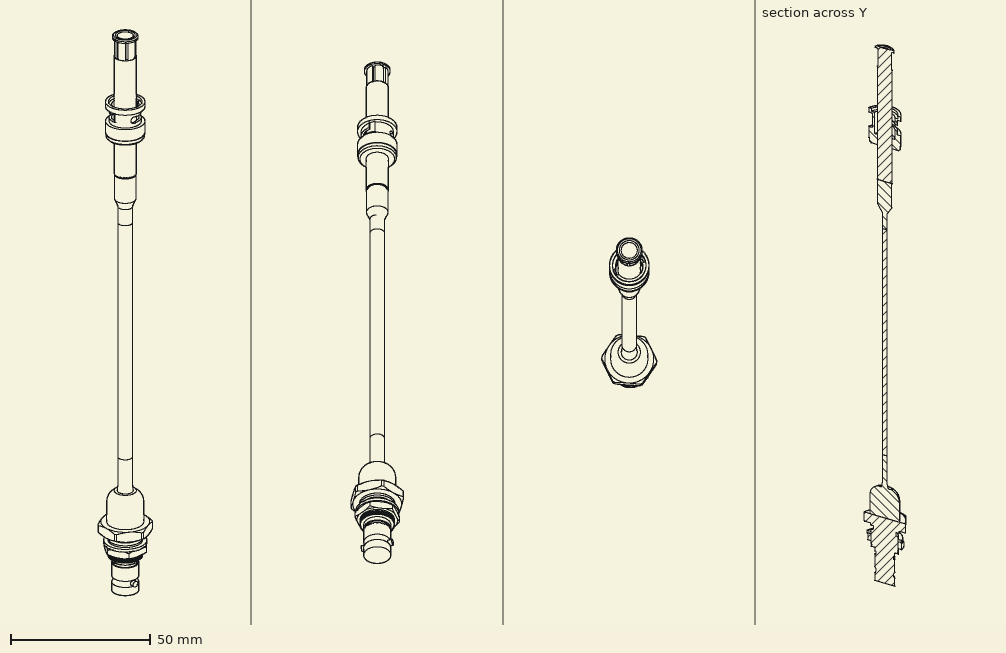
import cadquery as cq
import math

TOTAL_LENGTH = 222.3
HEX_BOTTOM = 23.3
HEX_TOP = 27.3
CABLE_BOTTOM = 53.4
CABLE_TOP = 147.2
SLEEVE_TOP = 167.0

CABLE_RADIUS = 2.7

HEX_SIDES = 6
HEX_CHAMFER_ANGLE = 30.0

BARREL_RADIUS = 5.0
BARREL_TOP = 13.8
THREAD_RADIUS = 6.2
THREAD_TOP = 21.3
THREAD_CHAMFER = 0.7
THREAD_PITCH = 0.55
THREAD_DEPTH = 0.2
THREAD_GROOVES = 3
NECK_RADIUS = 5.3
HEX_WIDTH = 17.5
HEX_CORNER_DIAMETER = 19.8
HEX_CHAMFER = 1.1
COLLAR_RADIUS = 6.5
COLLAR_HEIGHT = 1.0
FACE_GROOVE_BOTTOM = 3.3
FACE_GROOVE_TOP = 5.8
FACE_GROOVE_DEPTH = 0.5
SEAL_GROOVE_BOTTOM = 11.1
SEAL_GROOVE_HEIGHT = 1.1
SEAL_GROOVE_DEPTH = 0.5
STUD_HEIGHT = 4.5
STUD_RADIUS = 1.1
STUD_TIP_RADIUS = 5.8

WASHER_RADIUS = 7.8
WASHER_THICKNESS = 1.1
NUT_TOP = 19.0
NUT_BOTTOM = 16.0
NUT_WIDTH = 14.2
NUT_TURN = 30.0
NUT_CHAMFER = 1.0

BOOT_RADIUS = 6.7
BOOT_ROUND_BOTTOM = 35.5
BOOT_CONE_BOTTOM = 38.7
BOOT_CONE_RADIUS = 5.3
BOOT_TOP = 39.8
BOOT_TOP_RADIUS = 4.0
BOOT_FLARE_TOP = 42.0
BOOT_FLARE_RADIUS = 3.0

SLEEVE_RADIUS = 3.9
SLEEVE_CHAMFER = 0.5
SLEEVE_TIP_RADIUS = 3.1
SLEEVE_CONE_TOP = 156.7
SLEEVE_CONE_BOTTOM = 155.0
SLEEVE_TIP_BOTTOM = 153.5

TUBE_RADIUS = 4.0
NOSE_RADIUS = 3.9
NOSE_BOTTOM = 213.9
RIM_RADIUS = 4.7
RIM_THICKNESS = 1.1
RIM_CHAMFER = 0.5
SOCKET_MOUTH_RADIUS = 3.5
SOCKET_RADIUS = 3.0
SOCKET_DEPTH = 0.2
NOSE_SLOTS = 6
NOSE_SLOT_START = 30.0
NOSE_SLOT_WIDTH = 1.0
NOSE_SLOT_DEPTH = 1.0

RING_RADIUS = 7.1
RING_FOOT_RADIUS = 7.0
RING_WALL_RADIUS = 5.8
RING_BORE_RADIUS = 5.0
RING_MOUTH_RADIUS = 6.0
RING_TOP = 195.6
RING_MOUTH_FLOOR = 194.5
RING_LIP_BOTTOM = 193.6
RING_GRIP_TOP = 187.8
RING_GRIP_BOTTOM = 183.2
RING_BOTTOM = 181.2
RING_CHAMFER = 0.7
RING_FLOOR = 185.6
BAYONET_WIDTH = 2.2
BAYONET_DETENT_RADIUS = 1.3
BAYONET_HEIGHT = 190.5
BAYONET_ENTRY_ANGLE = 270.0
BAYONET_SWEEP = 95.0


def turned(profile):
    """Solid of revolution about Z from (radius, height) points."""
    return cq.Workplane("XZ").polyline(profile).close().revolve(360, (0, 0), (0, 1))


def tube(outer, inner, bottom, top):
    """Round tube along Z."""
    return cq.Workplane("XY").workplane(offset=bottom).circle(outer).circle(inner).extrude(top - bottom)


def chamfered_disc(diameter, bottom, top, chamfer):
    """Disc along Z with shallow chamfers, which trims the corners of a hexagon."""
    radius = diameter / 2
    drop = chamfer * math.tan(math.radians(HEX_CHAMFER_ANGLE))
    return turned([
        (0, bottom),
        (radius - chamfer, bottom),
        (radius, bottom + drop),
        (radius, top - drop),
        (radius - chamfer, top),
        (0, top),
    ])


def corner_to_corner(width):
    """Distance across the corners of a hexagon with the given width across its flats."""
    return width / math.cos(math.pi / HEX_SIDES)


def hexagon(width, bottom, top):
    """Hexagonal prism along Z with two corners on the X axis."""
    diameter = corner_to_corner(width)
    return cq.Workplane("XY").workplane(offset=bottom).polygon(HEX_SIDES, diameter).extrude(top - bottom)


def face_groove():
    """Shallow round-bottomed groove around the barrel, level with the studs."""
    groove_middle = (FACE_GROOVE_BOTTOM + FACE_GROOVE_TOP) / 2
    return (
        cq.Workplane("XZ")
        .moveTo(BARREL_RADIUS, FACE_GROOVE_BOTTOM)
        .threePointArc((BARREL_RADIUS - FACE_GROOVE_DEPTH, groove_middle), (BARREL_RADIUS, FACE_GROOVE_TOP))
        .close()
        .revolve(360, (0, 0), (0, 1))
    )


def make_jack():
    """Bulkhead jack: grooved barrel with two studs, threaded neck and hexagonal flange."""
    jack = turned([
        (0, 0),
        (BARREL_RADIUS, 0),
        (BARREL_RADIUS, BARREL_TOP),
        (THREAD_RADIUS, BARREL_TOP),
        (THREAD_RADIUS, THREAD_TOP - THREAD_CHAMFER),
        (NECK_RADIUS, THREAD_TOP),
        (NECK_RADIUS, HEX_BOTTOM - COLLAR_HEIGHT),
        (COLLAR_RADIUS, HEX_BOTTOM - COLLAR_HEIGHT),
        (COLLAR_RADIUS, HEX_BOTTOM),
        (0, HEX_BOTTOM),
    ])
    flange = hexagon(HEX_WIDTH, HEX_BOTTOM, HEX_TOP)
    blank = chamfered_disc(HEX_CORNER_DIAMETER, HEX_BOTTOM, HEX_TOP, HEX_CHAMFER)
    jack = jack.union(flange.intersect(blank))
    studs = (
        cq.Workplane("YZ")
        .center(0, STUD_HEIGHT)
        .circle(STUD_RADIUS)
        .extrude(STUD_TIP_RADIUS, both=True)
    )
    jack = jack.cut(face_groove()).union(studs)
    seal_groove = tube(
        BARREL_RADIUS,
        BARREL_RADIUS - SEAL_GROOVE_DEPTH,
        SEAL_GROOVE_BOTTOM,
        SEAL_GROOVE_BOTTOM + SEAL_GROOVE_HEIGHT,
    )
    jack = jack.cut(seal_groove)
    for index in range(THREAD_GROOVES):
        groove_bottom = BARREL_TOP + index * THREAD_PITCH
        jack = jack.cut(turned([
            (THREAD_RADIUS, groove_bottom),
            (THREAD_RADIUS, groove_bottom + THREAD_PITCH),
            (THREAD_RADIUS - THREAD_DEPTH, groove_bottom + THREAD_PITCH / 2),
        ]))
    return jack


def make_washer():
    """Flat washer resting on the nut."""
    return tube(WASHER_RADIUS, THREAD_RADIUS, NUT_TOP, NUT_TOP + WASHER_THICKNESS)


def make_nut():
    """Hexagonal nut with flats facing X."""
    blank = chamfered_disc(corner_to_corner(NUT_WIDTH), NUT_BOTTOM, NUT_TOP, NUT_CHAMFER)
    prism = hexagon(NUT_WIDTH, NUT_BOTTOM, NUT_TOP).rotate((0, 0, 0), (0, 0, 1), NUT_TURN)
    bore = cq.Workplane("XY").workplane(offset=NUT_BOTTOM).circle(THREAD_RADIUS).extrude(NUT_TOP - NUT_BOTTOM)
    return prism.intersect(blank).cut(bore)


def make_boot():
    """Cylinder whose shoulder rounds over into a cone, with a tail along the cable."""
    return (
        cq.Workplane("XZ")
        .moveTo(0, HEX_TOP)
        .lineTo(BOOT_RADIUS, HEX_TOP)
        .lineTo(BOOT_RADIUS, BOOT_ROUND_BOTTOM)
        .tangentArcPoint((BOOT_CONE_RADIUS, BOOT_CONE_BOTTOM), relative=False)
        .lineTo(BOOT_TOP_RADIUS, BOOT_TOP)
        .lineTo(BOOT_FLARE_RADIUS, BOOT_TOP)
        .lineTo(CABLE_RADIUS, BOOT_FLARE_TOP)
        .lineTo(CABLE_RADIUS, CABLE_BOTTOM)
        .lineTo(0, CABLE_BOTTOM)
        .close()
        .revolve(360, (0, 0), (0, 1))
    )


def make_cable():
    """Round cable between the boot and the sleeve."""
    length = CABLE_TOP - CABLE_BOTTOM
    return cq.Workplane("XY").workplane(offset=CABLE_BOTTOM).circle(CABLE_RADIUS).extrude(length)


def make_sleeve():
    """Sleeve that tapers down to a tail along the cable."""
    return turned([
        (0, CABLE_TOP),
        (CABLE_RADIUS, CABLE_TOP),
        (CABLE_RADIUS, SLEEVE_TIP_BOTTOM),
        (SLEEVE_TIP_RADIUS, SLEEVE_CONE_BOTTOM),
        (SLEEVE_RADIUS, SLEEVE_CONE_TOP),
        (SLEEVE_RADIUS, SLEEVE_TOP - SLEEVE_CHAMFER),
        (SLEEVE_RADIUS - SLEEVE_CHAMFER, SLEEVE_TOP),
        (0, SLEEVE_TOP),
    ])


def make_plug():
    """Plug tube with a rimmed nose, shallow lengthwise slots and a dished end face."""
    rim_bottom = TOTAL_LENGTH - RIM_THICKNESS
    plug = turned([
        (0, SLEEVE_TOP),
        (TUBE_RADIUS, SLEEVE_TOP),
        (TUBE_RADIUS, NOSE_BOTTOM),
        (NOSE_RADIUS, NOSE_BOTTOM),
        (NOSE_RADIUS, rim_bottom),
        (RIM_RADIUS, rim_bottom),
        (RIM_RADIUS, TOTAL_LENGTH - RIM_CHAMFER),
        (RIM_RADIUS - RIM_CHAMFER, TOTAL_LENGTH),
        (SOCKET_MOUTH_RADIUS, TOTAL_LENGTH),
        (SOCKET_RADIUS, TOTAL_LENGTH - SOCKET_DEPTH),
        (0, TOTAL_LENGTH - SOCKET_DEPTH),
    ])
    slots = (
        cq.Workplane("XY")
        .workplane(offset=NOSE_BOTTOM)
        .polarArray(NOSE_RADIUS, NOSE_SLOT_START, 360, NOSE_SLOTS)
        .rect(2 * NOSE_SLOT_DEPTH, NOSE_SLOT_WIDTH)
        .extrude(rim_bottom - NOSE_BOTTOM)
    )
    return plug.cut(slots)


def bayonet_cutters():
    """Entry, track and end detent of one L-shaped slot through the ring wall, entered on +X."""
    track_bottom = BAYONET_HEIGHT - BAYONET_WIDTH / 2
    entry = (
        cq.Workplane("XY")
        .workplane(offset=track_bottom)
        .center(RING_MOUTH_RADIUS / 2, 0)
        .rect(RING_MOUTH_RADIUS, BAYONET_WIDTH)
        .extrude(RING_MOUTH_FLOOR - track_bottom)
    )
    track = (
        cq.Workplane("XZ")
        .center(RING_WALL_RADIUS, BAYONET_HEIGHT)
        .rect(RING_WALL_RADIUS, BAYONET_WIDTH)
        .revolve(BAYONET_SWEEP, (-RING_WALL_RADIUS, 0), (-RING_WALL_RADIUS, 1))
        .rotate((0, 0, 0), (0, 0, 1), -BAYONET_SWEEP)
    )
    detent = (
        cq.Workplane("YZ")
        .center(0, BAYONET_HEIGHT)
        .circle(BAYONET_DETENT_RADIUS)
        .extrude(RING_RADIUS)
        .rotate((0, 0, 0), (0, 0, 1), -BAYONET_SWEEP)
    )
    return [entry, track, detent]


def make_coupling_ring():
    """Ring with a collar at each end and two bayonet slots on opposite sides."""
    ring = turned([
        (TUBE_RADIUS, RING_BOTTOM),
        (RING_FOOT_RADIUS - RING_CHAMFER, RING_BOTTOM),
        (RING_FOOT_RADIUS, RING_BOTTOM + RING_CHAMFER),
        (RING_FOOT_RADIUS, RING_GRIP_BOTTOM),
        (RING_RADIUS, RING_GRIP_BOTTOM),
        (RING_RADIUS, RING_GRIP_TOP),
        (RING_WALL_RADIUS, RING_GRIP_TOP),
        (RING_WALL_RADIUS, RING_LIP_BOTTOM),
        (RING_RADIUS, RING_LIP_BOTTOM),
        (RING_RADIUS, RING_TOP),
        (RING_MOUTH_RADIUS, RING_TOP),
        (RING_MOUTH_RADIUS, RING_MOUTH_FLOOR),
        (RING_BORE_RADIUS, RING_MOUTH_FLOOR),
        (RING_BORE_RADIUS, RING_FLOOR),
        (TUBE_RADIUS, RING_FLOOR),
    ])
    for turn in (0, 180):
        for cutter in bayonet_cutters():
            ring = ring.cut(cutter.rotate((0, 0, 0), (0, 0, 1), BAYONET_ENTRY_ANGLE + turn))
    return ring


jack = make_jack()
washer = make_washer()
nut = make_nut()
boot = make_boot()
cable = make_cable()
sleeve = make_sleeve()
plug = make_plug()
coupling_ring = make_coupling_ring()

bodies = [jack, washer, nut, boot, cable, sleeve, plug, coupling_ring]
result = cq.Compound.makeCompound([body.solids().val() for body in bodies])